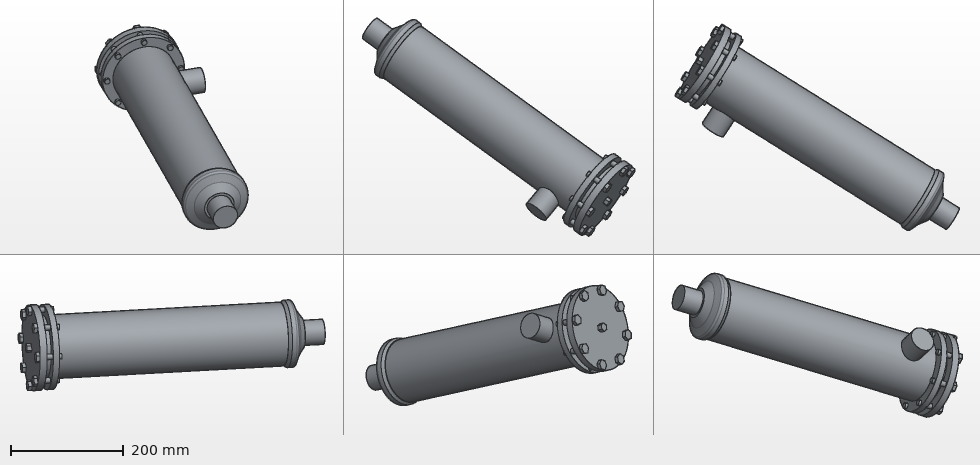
import cadquery as cq
import math

TOTAL_LENGTH = 538.5

COVER_DIAMETER = 153.0
COVER_FRONT = 8.5
COVER_THICKNESS = 13.0
FLANGE_DIAMETER = 152.0
FLANGE_FRONT = 33.0
FLANGE_THICKNESS = 11.5

PLUG_ACROSS_FLATS = 13.5
PLUG_TURN = 20.0

BOLT_COUNT = 8
BOLT_CIRCLE_DIAMETER = 137.5
BOLT_DIAMETER = 10.0
BOLT_HEAD_ACROSS_FLATS = 16.5
BOLT_HEAD_FRONT = 2.0
BOLT_END = 49.0

SHELL_DIAMETER = 114.0
SHELL_END = 464.0
PIPE_DIAMETER = 45.0
NOZZLE_X = 92.5
NOZZLE_END_Y = 93.0

CAP_DIAMETER = 120.5
CAP_WELD_RADIUS = 56.0
CAP_RIM_START = 470.5
CAP_RIM_END = 479.0
CAP_SHOULDER_RADIUS = 5.0
CAP_CONE_ANGLE = 66.0
CAP_CONE_END = 490.0
CAP_NECK_END = 501.5
CAP_NECK_RADIUS = 27.5

ORIGIN = (0, 0, 0)
X_AXIS = (1, 0, 0)

cover_back = COVER_FRONT + COVER_THICKNESS
flange_back = FLANGE_FRONT + FLANGE_THICKNESS


def cylinder_x(diameter, start, end):
    """Cylinder on the part axis from X = start to X = end."""
    return cq.Workplane("YZ", origin=(start, 0, 0)).circle(diameter / 2).extrude(end - start)


def hexagon_x(across_flats, start, end):
    """Hexagonal prism on the part axis with two flats facing +Z and -Z."""
    across_corners = across_flats / math.cos(math.pi / 6)
    return cq.Workplane("YZ", origin=(start, 0, 0)).polygon(6, across_corners).extrude(end - start)


def bolt(index):
    """One hex bolt of the ring, with a flat of its head facing outward."""
    head = hexagon_x(BOLT_HEAD_ACROSS_FLATS, BOLT_HEAD_FRONT, COVER_FRONT)
    shank = cylinder_x(BOLT_DIAMETER, COVER_FRONT, BOLT_END)
    top_bolt = head.union(shank).translate((0, 0, BOLT_CIRCLE_DIAMETER / 2))
    return top_bolt.rotate(ORIGIN, X_AXIS, index * 360 / BOLT_COUNT)


def shoulder_point(angle):
    """Point (X, radius) on the cap's shoulder arc, at an angle from the rim's edge."""
    x = CAP_RIM_END + CAP_SHOULDER_RADIUS * math.sin(angle)
    radius = CAP_DIAMETER / 2 - CAP_SHOULDER_RADIUS * (1 - math.cos(angle))
    return (x, radius)


def end_cap():
    """Revolved reducer between the shell and the outlet pipe."""
    cone_angle = math.radians(CAP_CONE_ANGLE)
    cone_start_x, cone_start_radius = shoulder_point(cone_angle)
    cone_end_radius = cone_start_radius - (CAP_CONE_END - cone_start_x) * math.tan(cone_angle)
    profile = (
        cq.Workplane("XY")
        .moveTo(SHELL_END, 0)
        .lineTo(SHELL_END, CAP_WELD_RADIUS)
        .lineTo(CAP_RIM_START, CAP_DIAMETER / 2)
        .lineTo(CAP_RIM_END, CAP_DIAMETER / 2)
        .threePointArc(shoulder_point(cone_angle / 2), (cone_start_x, cone_start_radius))
        .lineTo(CAP_CONE_END, cone_end_radius)
        .lineTo(CAP_NECK_END, CAP_NECK_RADIUS)
        .lineTo(CAP_NECK_END, 0)
        .close()
    )
    return profile.revolve(360, ORIGIN, X_AXIS)


def side_nozzle():
    """Pipe stub leaving the shell toward +Y."""
    section = cq.Workplane("XZ", origin=(NOZZLE_X, 0, 0)).circle(PIPE_DIAMETER / 2)
    return section.extrude(-NOZZLE_END_Y)


plug = hexagon_x(PLUG_ACROSS_FLATS, 0, COVER_FRONT).rotate(ORIGIN, X_AXIS, PLUG_TURN)
cover = cylinder_x(COVER_DIAMETER, COVER_FRONT, cover_back)
flange = cylinder_x(FLANGE_DIAMETER, FLANGE_FRONT, flange_back)
shell = cylinder_x(SHELL_DIAMETER, cover_back, SHELL_END)
outlet = cylinder_x(PIPE_DIAMETER, CAP_NECK_END, TOTAL_LENGTH)

result = cover.union(plug).union(shell).union(flange)
result = result.union(side_nozzle()).union(end_cap()).union(outlet)
for bolt_index in range(BOLT_COUNT):
    result = result.union(bolt(bolt_index))